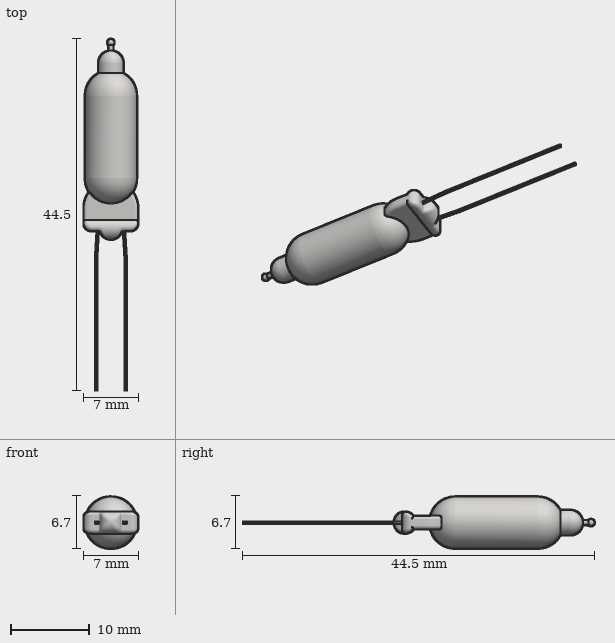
import cadquery as cq
import math

TOTAL_LENGTH = 44.55

BULB_RADIUS = 3.35
BULB_LOWER_Y = 26.9
BULB_UPPER_Y = 37.3

NIPPLE_RADIUS = 1.65
NIPPLE_DOME_Y = 41.45
STEM_RADIUS = 0.35
BEAD_RADIUS = 0.5
BEAD_Y = TOTAL_LENGTH - BEAD_RADIUS

FOOT_WIDTH = 7.0
FOOT_END_Y = 20.15
FOOT_CORNER_RADIUS = 1.05
FOOT_SHOULDER_Y = 23.08
WEB_THICKNESS = 1.8
BAR_RADIUS = 1.43
BAR_Y = 20.5
NUB_BLEND_RADIUS = 0.25
FOOT_EDGE_FILLET = 0.5

WIRE_RADIUS = 0.155
WIRE_X = 1.85
WIRE_BEND_Y = 16.75
WIRE_ROOT_X = 1.65
WIRE_ROOT_Y = BAR_Y

SIDES = (-1, 1)


def cylinder_along_y(radius, y_start, y_end):
    circle = cq.Workplane("XZ", origin=(0, y_start, 0)).circle(radius)
    return circle.extrude(y_start - y_end)


def make_bead():
    return cq.Workplane("XY", origin=(0, BEAD_Y, 0)).sphere(BEAD_RADIUS)


def make_bulb():
    half_turn = (
        cq.Workplane("XY")
        .moveTo(0, BULB_LOWER_Y - BULB_RADIUS)
        .radiusArc((BULB_RADIUS, BULB_LOWER_Y), -BULB_RADIUS)
        .lineTo(BULB_RADIUS, BULB_UPPER_Y)
        .radiusArc((0, BULB_UPPER_Y + BULB_RADIUS), -BULB_RADIUS)
        .close()
    )
    return half_turn.revolve(360, (0, 0, 0), (0, 1, 0))


def make_nipple(bulb):
    """Domed cylinder seated on the bulb's upper hemisphere."""
    half_turn = (
        cq.Workplane("XY")
        .moveTo(0, BULB_UPPER_Y)
        .lineTo(NIPPLE_RADIUS, BULB_UPPER_Y)
        .lineTo(NIPPLE_RADIUS, NIPPLE_DOME_Y)
        .radiusArc((0, NIPPLE_DOME_Y + NIPPLE_RADIUS), -NIPPLE_RADIUS)
        .close()
    )
    return half_turn.revolve(360, (0, 0, 0), (0, 1, 0)).cut(bulb)


def make_stem(nipple, bead):
    """Short rod between the nipple's dome and the bead."""
    stem = cylinder_along_y(STEM_RADIUS, NIPPLE_DOME_Y, BEAD_Y)
    return stem.cut(nipple).cut(bead)


def foot_plan():
    """Foot seen along Z: round inner end, round corners, and a nub blended into the end face."""
    half_width = FOOT_WIDTH / 2
    corner_x = half_width - FOOT_CORNER_RADIUS
    corner_y = FOOT_END_Y + FOOT_CORNER_RADIUS
    blend_y = FOOT_END_Y - NUB_BLEND_RADIUS
    blend_x = math.sqrt((BAR_RADIUS + NUB_BLEND_RADIUS) ** 2 - (BAR_Y - blend_y) ** 2)
    touch = BAR_RADIUS / (BAR_RADIUS + NUB_BLEND_RADIUS)
    nub_x = blend_x * touch
    nub_y = BAR_Y + (blend_y - BAR_Y) * touch
    return (
        cq.Workplane("XY", origin=(0, 0, -BAR_RADIUS))
        .moveTo(-half_width, FOOT_SHOULDER_Y)
        .lineTo(-half_width, corner_y)
        .radiusArc((-corner_x, FOOT_END_Y), -FOOT_CORNER_RADIUS)
        .lineTo(-blend_x, FOOT_END_Y)
        .radiusArc((-nub_x, nub_y), NUB_BLEND_RADIUS)
        .radiusArc((nub_x, nub_y), -BAR_RADIUS)
        .radiusArc((blend_x, FOOT_END_Y), NUB_BLEND_RADIUS)
        .lineTo(corner_x, FOOT_END_Y)
        .radiusArc((half_width, corner_y), -FOOT_CORNER_RADIUS)
        .lineTo(half_width, FOOT_SHOULDER_Y)
        .threePointArc((0, FOOT_SHOULDER_Y + half_width), (-half_width, FOOT_SHOULDER_Y))
        .close()
        .extrude(2 * BAR_RADIUS)
    )


def foot_profile():
    """Foot seen along X: the flat web running into the round bar."""
    half_web = WEB_THICKNESS / 2
    bar_joint_y = BAR_Y + math.sqrt(BAR_RADIUS ** 2 - half_web ** 2)
    return (
        cq.Workplane("YZ", origin=(-FOOT_WIDTH / 2, 0, 0))
        .moveTo(BULB_LOWER_Y, half_web)
        .lineTo(bar_joint_y, half_web)
        .threePointArc((BAR_Y - BAR_RADIUS, 0), (bar_joint_y, -half_web))
        .lineTo(BULB_LOWER_Y, -half_web)
        .close()
        .extrude(FOOT_WIDTH)
    )


def make_foot(bulb, wires):
    """Rounded foot, ending on the bulb's surface and bored for the wire roots."""
    foot = foot_plan().intersect(foot_profile())
    foot = foot.edges("not (|X or |Z)").fillet(FOOT_EDGE_FILLET)
    foot = foot.cut(bulb)
    for wire in wires:
        foot = foot.cut(wire)
    return foot


def make_straight_wire(side):
    return cylinder_along_y(WIRE_RADIUS, 0, WIRE_BEND_Y).translate((side * WIRE_X, 0, 0))


def make_splayed_wire(side):
    """Slanting wire whose two ends are circles square to Y."""
    return (
        cq.Workplane("XZ", origin=(side * WIRE_X, WIRE_BEND_Y, 0))
        .circle(WIRE_RADIUS)
        .workplane(offset=WIRE_BEND_Y - WIRE_ROOT_Y)
        .center(side * (WIRE_ROOT_X - WIRE_X), 0)
        .circle(WIRE_RADIUS)
        .loft(ruled=True)
    )


bulb = make_bulb()
nipple = make_nipple(bulb)
bead = make_bead()
stem = make_stem(nipple, bead)
straight_wires = [make_straight_wire(side) for side in SIDES]
splayed_wires = [make_splayed_wire(side) for side in SIDES]
foot = make_foot(bulb, splayed_wires)

wire_solids = [wire.val() for wire in straight_wires + splayed_wires]
result = cq.Compound.makeCompound(
    [bulb.val(), nipple.val(), stem.val(), bead.val(), foot.val(), *wire_solids]
)